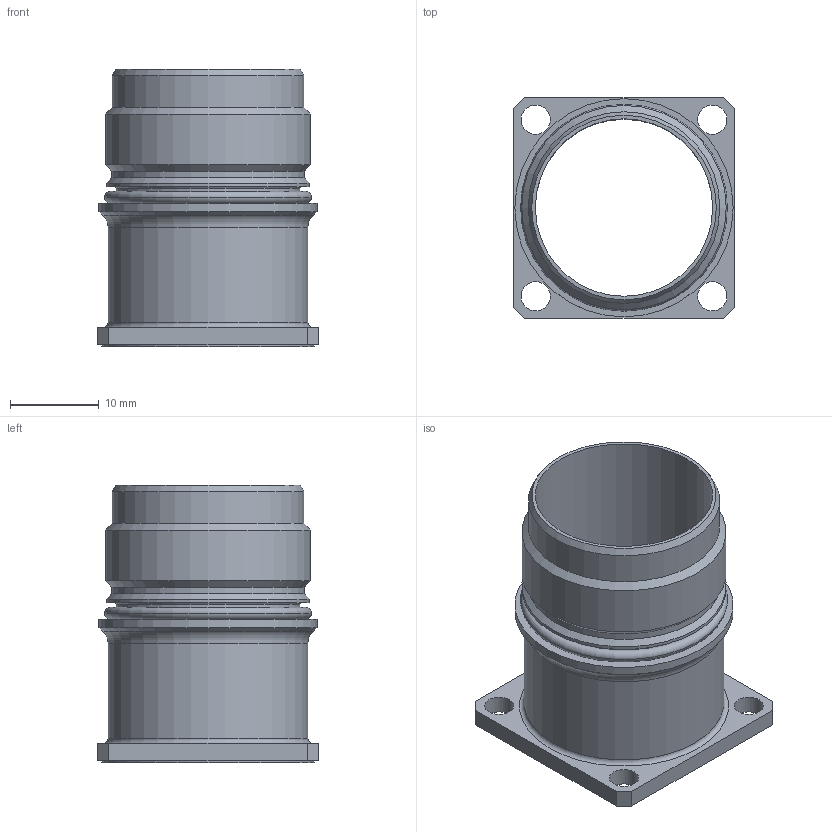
import cadquery as cq
import math

flange_width = 24.9
flange_thickness = 2.0
corner_chamfer = 1.25
hole_diameter = 3.3
hole_offset = 9.95
pilot_radius = 11.95
pilot_height = 0.22

bore_radius = 10.0
lower_barrel_radius = 11.27
collar_radius = 12.3
groove_radius = 10.35
groove_fillet = 0.25
rib_radius = 11.43
neck_radius = 10.83
band_radius = 11.52
top_radius = 10.8
rim_radius = 10.4

flange_top = pilot_height + flange_thickness
foot_fillet = 0.5
flare_start = 13.5
flare_end = 14.86
flare_end_radius = 11.86
collar_bottom = 15.23
collar_top = 16.22
rib_bottom = 18.08
rib_edge = 18.45
neck_bottom = 19.05
neck_top = 19.82
band_bottom = 20.55
band_top = 26.25
shoulder_top = 26.99
rim_edge = 30.58
total_height = 31.32

seal_section_radius = 0.67
seal_embed = 0.03
seal_center_radius = groove_radius + seal_section_radius - seal_embed
seal_center_height = collar_top + seal_section_radius - seal_embed


def make_flange():
    plate = (
        cq.Workplane("XY")
        .workplane(offset=pilot_height)
        .rect(flange_width, flange_width)
        .extrude(flange_thickness)
        .edges("|Z")
        .chamfer(corner_chamfer)
    )
    pilot = cq.Workplane("XY").circle(pilot_radius).extrude(flange_top)
    return plate.union(pilot)


def seal_point(angle):
    """Point (radius, height) on the seal ring section, angle counted from its outer equator."""
    return (
        seal_center_radius + seal_section_radius * math.cos(angle),
        seal_center_height + seal_section_radius * math.sin(angle),
    )


def make_body():
    """Revolve the outer profile; the seal ring is part of it, filled in behind its lower half."""
    foot_arc_offset = foot_fillet * (1 - math.sqrt(0.5))
    seal_contact = math.sqrt(seal_section_radius**2 - (seal_section_radius - seal_embed) ** 2)
    seal_bottom_angle = math.atan2(seal_embed - seal_section_radius, seal_contact)
    seal_top_angle = math.pi - math.atan2(seal_contact, seal_section_radius - seal_embed)
    profile = (
        cq.Workplane("XZ")
        .moveTo(0, pilot_height)
        .lineTo(lower_barrel_radius + foot_fillet, pilot_height)
        .lineTo(lower_barrel_radius + foot_fillet, flange_top)
        .threePointArc(
            (lower_barrel_radius + foot_arc_offset, flange_top + foot_arc_offset),
            (lower_barrel_radius, flange_top + foot_fillet),
        )
        .lineTo(lower_barrel_radius, flare_start)
        .tangentArcPoint((flare_end_radius, flare_end), relative=False)
        .lineTo(collar_radius, collar_bottom)
        .lineTo(collar_radius, collar_top)
        .lineTo(*seal_point(seal_bottom_angle))
        .threePointArc(seal_point(seal_bottom_angle / 2), seal_point(0))
        .threePointArc(seal_point(seal_top_angle / 2), seal_point(seal_top_angle))
        .lineTo(groove_radius, rib_bottom - groove_fillet)
        .tangentArcPoint((groove_radius + groove_fillet, rib_bottom), relative=False)
        .lineTo(rib_radius, rib_bottom)
        .lineTo(rib_radius, rib_edge)
        .lineTo(neck_radius, neck_bottom)
        .lineTo(neck_radius, neck_top)
        .lineTo(band_radius, band_bottom)
        .lineTo(band_radius, band_top)
        .lineTo(top_radius, shoulder_top)
        .lineTo(top_radius, rim_edge)
        .lineTo(rim_radius, total_height)
        .lineTo(0, total_height)
        .close()
    )
    return profile.revolve(360, (0, 0, 0), (0, 1, 0))


def make_bore():
    return cq.Workplane("XY").circle(bore_radius).extrude(total_height)


def make_mounting_holes():
    return (
        cq.Workplane("XY")
        .rect(2 * hole_offset, 2 * hole_offset, forConstruction=True)
        .vertices()
        .circle(hole_diameter / 2)
        .extrude(flange_top)
    )


def make_part():
    shell = make_flange().union(make_body())
    return shell.cut(make_bore()).cut(make_mounting_holes())


result = make_part()